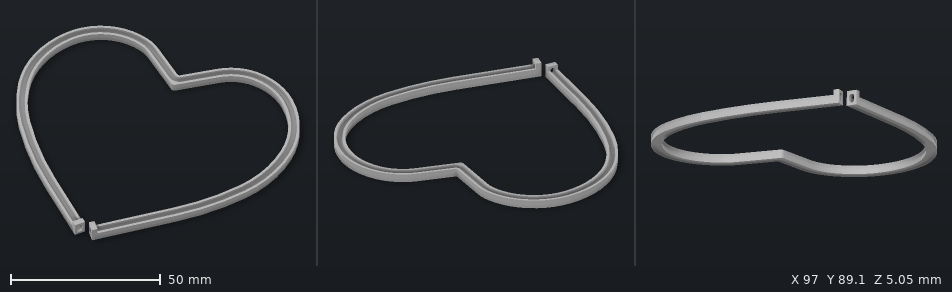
import cadquery as cq
import math


band_width = 3.8
band_height = 2.9
groove_width = 2.0
groove_radius = groove_width / 2
groove_floor = 0.9
groove_axis_z = groove_floor + groove_radius

notch_point = cq.Vector(-0.4, 29.9, 0)
notch_path_radius = 2.7
notch_inner_radius = 1.4

left_run_length = 15.2
left_run_angle = 143.3
left_arcs = [(14.2, 20.3), (21.9, 70.2), (30.2, 50.8), (46.2, 21.1), (113.9, 14.0)]
left_leg_length = 23.1
right_run_length = 14.7
right_run_angle = 37.6
right_arcs = [(18.7, 39.4), (22.0, 40.6), (27.9, 48.6), (39.0, 32.4), (90.3, 15.5)]
right_leg_length = 29.8

block_length = 1.9
block_width = 3.7
left_block_height = 4.8
right_block_height = 5.05

hole_top = 3.9
hole_height = hole_top - groove_floor


def heading(angle):
    """Unit vector in the XY plane at an angle in degrees from +X."""
    return cq.Vector(math.cos(math.radians(angle)), math.sin(math.radians(angle)), 0)


left_run = heading(left_run_angle)
right_run = heading(right_run_angle)
notch_axis = heading((left_run_angle + right_run_angle) / 2)
notch_half_angle = math.radians((left_run_angle - right_run_angle) / 2)
notch_setback = notch_path_radius / math.tan(notch_half_angle)
notch_arc_center = notch_point + notch_axis * (notch_path_radius / math.sin(notch_half_angle))


def half_path(run_length, run_angle, arcs, leg_length, side):
    """Edges from the notch arc round one lobe to the tip; side is +1 to turn left, -1 to turn right."""
    angle = run_angle
    point = notch_point + heading(angle) * run_length
    edges = [cq.Edge.makeLine(notch_point + heading(angle) * notch_setback, point)]
    for radius, turn in arcs:
        center = point + heading(angle + side * 90) * radius
        middle = center + heading(angle + side * (turn / 2 - 90)) * radius
        angle += side * turn
        end = center + heading(angle - side * 90) * radius
        edges.append(cq.Edge.makeThreePointArc(point, middle, end))
        point = end
    edges.append(cq.Edge.makeLine(point, point + heading(angle) * leg_length))
    return edges


def band_path(left, right):
    """Centerline of the whole band, with the notch rounded by an arc."""
    arc = cq.Edge.makeThreePointArc(
        left[0].startPoint(), notch_arc_center - notch_axis * notch_path_radius, right[0].startPoint()
    )
    return cq.Wire.assembleEdges(left[::-1] + [arc] + right)


def upright_plane(point, normal):
    """Plane across the band at a point: local Y up, with the given normal."""
    return cq.Plane(origin=point, xDir=cq.Vector(0, 0, 1).cross(normal), normal=normal)


def grooved_band(path):
    along = path.tangentAt(0)
    plane = upright_plane(path.startPoint(), along)
    half_width = band_width / 2
    profile = (
        cq.Workplane(plane)
        .moveTo(-half_width, 0)
        .lineTo(half_width, 0)
        .lineTo(half_width, band_height)
        .lineTo(groove_radius, band_height)
        .lineTo(groove_radius, groove_axis_z)
        .threePointArc((0, groove_floor), (-groove_radius, groove_axis_z))
        .lineTo(-groove_radius, band_height)
        .lineTo(-half_width, band_height)
        .close()
    )
    return profile.sweep(cq.Workplane(obj=path))


def notch_corner():
    """Fills the inner side of the notch, outside the groove, out to a tighter corner radius."""
    corner = notch_point - notch_axis * (band_width / 2 / math.sin(notch_half_angle))
    reach = (notch_path_radius + band_width / 2) / math.tan(notch_half_angle)
    left_end = corner + left_run * reach
    right_end = corner + right_run * reach
    profile = [(p.x, p.y) for p in (corner, right_end, notch_arc_center, left_end)]
    wedge = cq.Workplane("XY").polyline(profile).close().extrude(band_height)
    corner_edge = cq.selectors.NearestToPointSelector((corner.x, corner.y, band_height / 2))
    wedge = wedge.edges(corner_edge).fillet(notch_inner_radius)
    wall_middle = notch_path_radius + (groove_radius + band_width / 2) / 2
    clearance = cq.Workplane("XY").center(notch_arc_center.x, notch_arc_center.y)
    return wedge.cut(clearance.circle(wall_middle).extrude(band_height))


def end_block(face_plane, height):
    block = cq.Workplane(face_plane).center(0, height / 2)
    return block.rect(block_width, height).extrude(-block_length)


def block_hole(face_plane):
    slot = cq.Workplane(face_plane).center(0, groove_floor + hole_height / 2)
    return slot.slot2D(hole_height, groove_width, 90).extrude(-block_length)


left_half = half_path(left_run_length, left_run_angle, left_arcs, left_leg_length, 1)
right_half = half_path(right_run_length, right_run_angle, right_arcs, right_leg_length, -1)
result = grooved_band(band_path(left_half, right_half)).union(notch_corner())

for half, block_height in ((left_half, left_block_height), (right_half, right_block_height)):
    leg = half[-1]
    end_face = upright_plane(leg.endPoint(), leg.tangentAt(1))
    result = result.union(end_block(end_face, block_height)).cut(block_hole(end_face))

result = cq.Workplane(obj=result.solids().val())